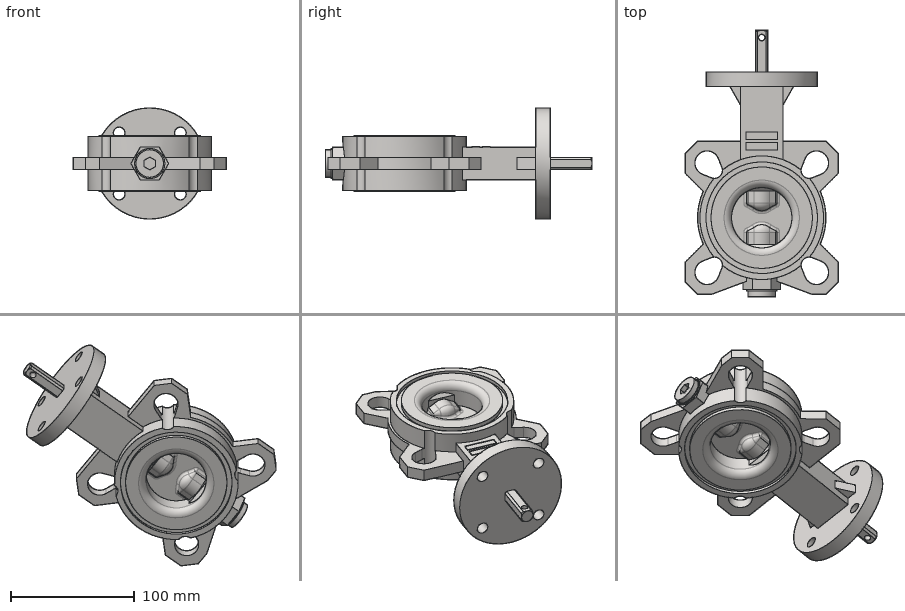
import cadquery as cq
import math


BODY_RADIUS = 50.0
BODY_HALF_HEIGHT = 21.9
GROOVE_RADIUS = 45.1
GROOVE_DEPTH = 3.0

LINER_RADIUS = 41.0
LINER_HALF_HEIGHT = 22.45
BORE_RADIUS = 24.4
BORE_ROUNDING = 6.05
FLAT_DISTANCE = 21.5
FLAT_HALF_HEIGHT = 12.2

DISC_HALF_THICKNESS = 2.25
HUB_START = 11.8
HUB_BASE_HEIGHT = 4.6
HUB_TOP_HEIGHT = 10.8
HUB_SHOULDER_HEIGHT = 8.6
HUB_SHOULDER_X = 6.2
HUB_HALF_WIDTH = 12.2
HUB_SIDE_X = 11.2
HUB_SIDE_HEIGHT = 5.8
HUB_FILLET = 2.3
HUB_EDGE_MIDDLE_ANGLE = 60.0

LUG_HALF_SIZE = 62.0
LUG_HALF_THICKNESS = 5.0
LUG_CHAMFER = 10.0
LUG_SIDE_LENGTH = 16.0
LUG_FOOT_X = 40.5
LUG_FOOT_ANGLE = 20.5
LUG_RING_RADIUS = 52.0
BOLT_OFFSET = 44.2
BOLT_RADIUS = 9.75
RELIEF_OFFSET = 38.3
RELIEF_RADIUS = 6.4

NECK_WIDTH = 34.5
NECK_HEIGHT = 26.6
GUSSET_HALF_SPAN = 25.7
GUSSET_LENGTH = 14.9
GUSSET_THICKNESS = 10.0
PAD_WIDTH = 25.5
PAD_LENGTH = 6.0
PAD_HEIGHT = 0.5
PAD_CENTRES = (57.7, 66.2)

FLANGE_RADIUS = 45.0
FLANGE_THICKNESS = 12.0
FLANGE_FACE = 118.0
FLANGE_BACK = FLANGE_FACE - FLANGE_THICKNESS
FLANGE_BOLT_CIRCLE = 70.0
FLANGE_HOLE_RADIUS = 4.6

STEM_RADIUS = 6.0
STEM_SQUARE = 10.0
STEM_END = 151.7
STEM_CHAMFER = 1.0
PIN_HOLE_RADIUS = 2.5
PIN_HOLE_FROM_END = 6.0

HEX_FLATS = 26.5
HEX_END = -58.2
COLLAR_RADIUS = 12.2
COLLAR_END = -59.4
PLUG_RADIUS = 11.15
PLUG_END = -64.0
SOCKET_FLATS = 9.0
SOCKET_DEPTH = 5.0

OVERLAP = 1.0


def plane_at_y(y):
    """Workplane normal to Y whose local axes are X and Z; it extrudes toward -Y."""
    return cq.Workplane("XZ", origin=(0, y, 0))


def cylinder_y(radius, y_high, y_low):
    return plane_at_y(y_high).circle(radius).extrude(y_high - y_low)


def cylinder_z(radius, half_height):
    return cq.Workplane("XY").circle(radius).extrude(half_height, both=True)


def hexagon_across_corners(across_flats):
    return across_flats / math.cos(math.radians(30))


def make_body():
    """Body ring and liner as one turned ring, with a groove between them on both faces."""
    groove_floor = BODY_HALF_HEIGHT - GROOVE_DEPTH
    rounding_start = LINER_HALF_HEIGHT - BORE_ROUNDING
    rounding_middle = BORE_ROUNDING * (1 - math.cos(math.radians(45)))
    upper_half = (
        cq.Workplane("XZ")
        .moveTo(BORE_RADIUS, 0)
        .lineTo(BORE_RADIUS, rounding_start)
        .threePointArc(
            (BORE_RADIUS + rounding_middle, LINER_HALF_HEIGHT - rounding_middle),
            (BORE_RADIUS + BORE_ROUNDING, LINER_HALF_HEIGHT),
        )
        .lineTo(LINER_RADIUS, LINER_HALF_HEIGHT)
        .lineTo(LINER_RADIUS, groove_floor)
        .lineTo(GROOVE_RADIUS, groove_floor)
        .lineTo(GROOVE_RADIUS, BODY_HALF_HEIGHT)
        .lineTo(BODY_RADIUS, BODY_HALF_HEIGHT)
        .lineTo(BODY_RADIUS, 0)
        .close()
        .revolve(360, (0, 0, 0), (0, 1, 0))
    )
    return upper_half.union(upper_half.mirror("XY"))


def make_liner_flat():
    """Flat at the +Y side of the bore, running out into the bore wall at 45 degrees."""
    outer_distance = (BORE_RADIUS + LINER_RADIUS) / 2
    outer_half_height = FLAT_HALF_HEIGHT + BORE_RADIUS - FLAT_DISTANCE
    wedge = (
        cq.Workplane("YZ")
        .moveTo(FLAT_DISTANCE, -FLAT_HALF_HEIGHT)
        .lineTo(FLAT_DISTANCE, FLAT_HALF_HEIGHT)
        .lineTo(BORE_RADIUS, outer_half_height)
        .lineTo(outer_distance, outer_half_height)
        .lineTo(outer_distance, -outer_half_height)
        .lineTo(BORE_RADIUS, -outer_half_height)
        .close()
        .extrude(BORE_RADIUS, both=True)
    )
    return wedge.intersect(cylinder_z(BORE_RADIUS + OVERLAP, LINER_HALF_HEIGHT - BORE_ROUNDING))


def hub_profile(workplane, direction):
    """Closed hub outline: straight sloping sides with rounded edges and an arched crown.

    Heights count from the hub base; the direction (1 or -1) is that of the crown along local Y.
    """
    crown = direction * (HUB_TOP_HEIGHT - HUB_BASE_HEIGHT)
    shoulder = direction * (HUB_SHOULDER_HEIGHT - HUB_BASE_HEIGHT)
    side_end = direction * (HUB_SIDE_HEIGHT - HUB_BASE_HEIGHT)
    middle_angle = math.radians(HUB_EDGE_MIDDLE_ANGLE)
    edge_width = HUB_HALF_WIDTH - HUB_SIDE_X
    edge_x = HUB_SIDE_X + edge_width * math.sin(middle_angle)
    edge_y = side_end * math.cos(middle_angle)
    return (
        workplane.moveTo(-HUB_HALF_WIDTH, 0)
        .threePointArc((-edge_x, edge_y), (-HUB_SIDE_X, side_end))
        .lineTo(-HUB_SHOULDER_X, shoulder)
        .threePointArc((0, crown), (HUB_SHOULDER_X, shoulder))
        .lineTo(HUB_SIDE_X, side_end)
        .threePointArc((edge_x, edge_y), (HUB_HALF_WIDTH, 0))
        .close()
    )


def make_hub(outer_end):
    """Upper half of the +Y hub: a straight barrel with a turned end toward the valve centre."""
    length = outer_end - HUB_START
    barrel_plane = cq.Workplane("XZ", origin=(0, outer_end, HUB_BASE_HEIGHT))
    barrel = hub_profile(barrel_plane, 1).extrude(length)
    end_plane = cq.Workplane("XZ", origin=(0, HUB_START, HUB_BASE_HEIGHT))
    rounded_end = hub_profile(end_plane, 1).revolve(90, (0, 0, 0), (1, 0, 0))
    foot_plane = cq.Workplane("XY", origin=(0, HUB_START, 0))
    foot_end = hub_profile(foot_plane, -1).extrude(HUB_BASE_HEIGHT)
    foot_barrel = (
        foot_plane.center(0, length / 2).rect(2 * HUB_HALF_WIDTH, length).extrude(HUB_BASE_HEIGHT)
    )
    return barrel.union(rounded_end).union(foot_end).union(foot_barrel)


def make_disc():
    """Closing disc with hubs on both faces, spanning the bore."""
    outer_end = LINER_RADIUS
    blank = cq.Workplane("XY").rect(2 * outer_end, 2 * outer_end).extrude(DISC_HALF_THICKNESS)
    hub = make_hub(outer_end)
    blank = blank.union(hub).union(hub.mirror("XZ"))
    root_x = HUB_HALF_WIDTH + OVERLAP
    root_y = outer_end - OVERLAP
    root_edges = cq.selectors.BoxSelector(
        (-root_x, -root_y, DISC_HALF_THICKNESS / 2),
        (root_x, root_y, (DISC_HALF_THICKNESS + HUB_BASE_HEIGHT) / 2),
    )
    blank = blank.edges(root_edges).fillet(HUB_FILLET)
    upper_half = blank.intersect(cylinder_z(BORE_RADIUS + OVERLAP, LINER_HALF_HEIGHT - BORE_ROUNDING))
    return upper_half.union(upper_half.mirror("XY"))


def make_lug_plate():
    chamfer_end = LUG_HALF_SIZE - LUG_CHAMFER
    side_end = chamfer_end - LUG_SIDE_LENGTH
    waist_x = LUG_HALF_SIZE - side_end
    foot_rise = LUG_FOOT_X * math.tan(math.radians(LUG_FOOT_ANGLE))
    right_side = [
        (chamfer_end, LUG_HALF_SIZE),
        (LUG_HALF_SIZE, chamfer_end),
        (LUG_HALF_SIZE, side_end),
        (waist_x, 0),
        (LUG_HALF_SIZE, -side_end),
        (LUG_HALF_SIZE, -chamfer_end),
        (chamfer_end, -LUG_HALF_SIZE),
        (LUG_FOOT_X, -LUG_HALF_SIZE),
    ]
    left_side = [(-x, y) for x, y in reversed(right_side)]
    outline = right_side + [(0, foot_rise - LUG_HALF_SIZE)] + left_side
    plate = cq.Workplane("XY").polyline(outline).close().extrude(LUG_HALF_THICKNESS, both=True)
    plate = plate.union(cylinder_z(LUG_RING_RADIUS, LUG_HALF_THICKNESS))
    return plate.cut(cylinder_z(LINER_RADIUS, LUG_HALF_THICKNESS))


def make_bolt_slot():
    """Egg-shaped cutter on the +X axis: a bolt circle and a relief circle joined by tangents."""
    bolt_x = BOLT_OFFSET * math.sqrt(2)
    relief_x = RELIEF_OFFSET * math.sqrt(2)
    tangent_cos = (RELIEF_RADIUS - BOLT_RADIUS) / (bolt_x - relief_x)
    tangent_sin = math.sqrt(1 - tangent_cos**2)

    def tangent_point(centre_x, radius, side):
        return (centre_x + radius * tangent_cos, side * radius * tangent_sin)

    return (
        cq.Workplane("XY")
        .moveTo(*tangent_point(relief_x, RELIEF_RADIUS, 1))
        .lineTo(*tangent_point(bolt_x, BOLT_RADIUS, 1))
        .threePointArc((bolt_x + BOLT_RADIUS, 0), tangent_point(bolt_x, BOLT_RADIUS, -1))
        .lineTo(*tangent_point(relief_x, RELIEF_RADIUS, -1))
        .threePointArc((relief_x - RELIEF_RADIUS, 0), tangent_point(relief_x, RELIEF_RADIUS, 1))
        .close()
        .extrude(BODY_HALF_HEIGHT, both=True)
    )


def make_neck():
    """Neck from the liner to the flange, with a gusset on each side and two label pads."""
    neck = (
        plane_at_y(FLANGE_BACK)
        .rect(NECK_WIDTH, NECK_HEIGHT)
        .extrude(FLANGE_BACK - LINER_RADIUS)
    )
    gusset_tip = FLANGE_BACK - GUSSET_LENGTH
    gussets = (
        cq.Workplane("XY")
        .moveTo(-NECK_WIDTH / 2, gusset_tip)
        .lineTo(-GUSSET_HALF_SPAN, FLANGE_BACK)
        .lineTo(GUSSET_HALF_SPAN, FLANGE_BACK)
        .lineTo(NECK_WIDTH / 2, gusset_tip)
        .close()
        .extrude(GUSSET_THICKNESS / 2, both=True)
    )
    pads = (
        cq.Workplane("XY", origin=(0, 0, NECK_HEIGHT / 2))
        .pushPoints([(0, y) for y in PAD_CENTRES])
        .rect(PAD_WIDTH, PAD_LENGTH)
        .extrude(PAD_HEIGHT)
    )
    return neck.union(gussets).union(pads)


def make_flange():
    flange = cylinder_y(FLANGE_RADIUS, FLANGE_FACE, FLANGE_BACK)
    holes = (
        plane_at_y(FLANGE_FACE)
        .polarArray(FLANGE_BOLT_CIRCLE / 2, 45, 360, 4)
        .circle(FLANGE_HOLE_RADIUS)
        .extrude(FLANGE_THICKNESS)
    )
    return flange.cut(holes)


def make_stem():
    """Round stem milled to a square, with a chamfered end and a cross hole for a pin."""
    stem_length = STEM_END - FLANGE_BACK
    stem = cylinder_y(STEM_RADIUS, STEM_END, FLANGE_BACK).faces(">Y").chamfer(STEM_CHAMFER)
    square = plane_at_y(STEM_END).rect(STEM_SQUARE, STEM_SQUARE).extrude(stem_length)
    pin_hole = cylinder_z(PIN_HOLE_RADIUS, STEM_SQUARE)
    pin_hole = pin_hole.translate((0, STEM_END - PIN_HOLE_FROM_END, 0))
    return stem.intersect(square).cut(pin_hole)


def make_plug():
    """Hexagonal boss under the body with a collar and a round plug head."""
    boss = (
        plane_at_y(-LINER_RADIUS)
        .polygon(6, hexagon_across_corners(HEX_FLATS))
        .extrude(-HEX_END - LINER_RADIUS)
    )
    collar = cylinder_y(COLLAR_RADIUS, HEX_END, COLLAR_END)
    head = cylinder_y(PLUG_RADIUS, HEX_END, PLUG_END)
    socket = (
        plane_at_y(PLUG_END + SOCKET_DEPTH)
        .transformed(rotate=(0, 0, 30))
        .polygon(6, hexagon_across_corners(SOCKET_FLATS))
        .extrude(SOCKET_DEPTH)
    )
    return boss.union(collar).union(head).cut(socket)


def make_valve():
    ring = make_body().union(make_lug_plate())
    bolt_slot = make_bolt_slot()
    for angle in (45, 135, 225, 315):
        ring = ring.cut(bolt_slot.rotate((0, 0, 0), (0, 0, 1), angle))
    flat = make_liner_flat()
    valve = ring.union(flat).union(flat.mirror("XZ"))
    for part in (make_disc(), make_neck(), make_flange(), make_stem(), make_plug()):
        valve = valve.union(part)
    return valve


result = make_valve()